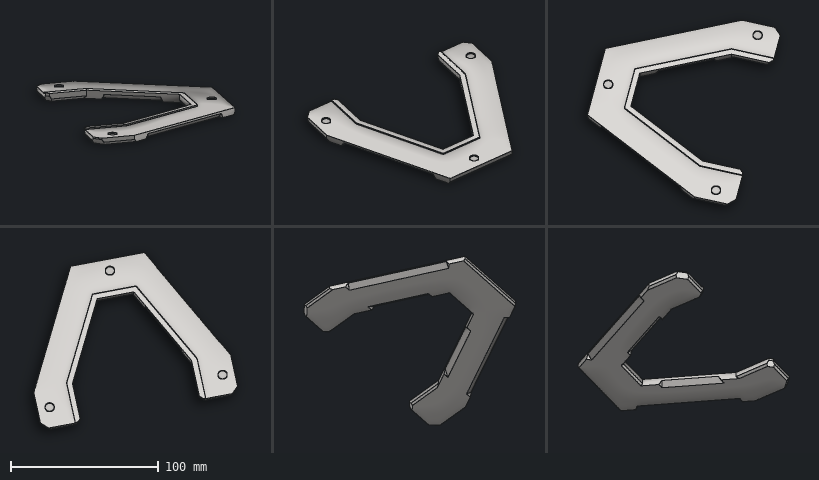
import cadquery as cq
import math

width = 137.0
length = 113.5
plate_thickness = 5.0
lip_height = 1.0
lip_width = 4.0
full_height = plate_thickness + lip_height

half_width = width / 2
arm_run = 0.5
arm_length_factor = math.hypot(1, arm_run)
arm_width = 24.0
leg_width = 27.25
top_bar_width = 27.5
outer_bend_y = 28.0
outer_top_half = half_width - (length - outer_bend_y) * arm_run
inner_half = half_width - leg_width
inner_top_y = length - top_bar_width
inner_top_half = outer_top_half + top_bar_width * arm_run - arm_width * arm_length_factor

chamfer_slope = 0.5
edge_chamfer_height = 2.0
edge_chamfer = edge_chamfer_height * chamfer_slope
corner_chamfer_height = 4.0
outer_corner_cut = 4.75
inner_corner_cut = 2.25

relief_height = 3.5
foot_pad_end_y = 38.0
inner_relief_top_y = 76.0
outer_relief_top_y = 103.3

hole_diameter = 6.3
hole_depth = 1.0
hole_inset = 8.5
foot_hole_y = 15.0
hole_x = half_width - hole_inset
hole_points = [(-hole_x, foot_hole_y), (hole_x, foot_hole_y), (0, length - hole_inset)]

clearance = 10.0


def outer_x(y):
    """X of the outer arm face on the +X side."""
    return outer_top_half + (length - y) * arm_run


def inner_x(y):
    """X of the inner arm face on the +X side."""
    return inner_top_half + (inner_top_y - y) * arm_run


def arch_points(half_bottom, half_top, top_y, start_y):
    """Symmetric arch: vertical legs, arms of the common slope and a flat top."""
    bend_y = top_y - (half_bottom - half_top) / arm_run
    right = [(half_bottom, start_y), (half_bottom, bend_y), (half_top, top_y)]
    return right + [(-x, y) for x, y in reversed(right)]


def opening_outline(growth, arm_offset=0.0):
    """Opening outline with its legs and top moved outward, arms moved by arm_offset."""
    top_y = inner_top_y + growth
    half_top = inner_x(top_y) + arm_offset * arm_length_factor
    return arch_points(inner_half + growth, half_top, top_y, -clearance)


def prism(points, z_low, z_high):
    return cq.Workplane("XY").workplane(offset=z_low).polyline(points).close().extrude(z_high - z_low)


def both_sides(tool):
    return tool.union(tool.mirror("YZ"))


def section_plane(x, y, angle):
    """Upright plane through (x, y), running along the given angle with local Y up."""
    across = (math.cos(angle), math.sin(angle), 0)
    normal = (math.sin(angle), -math.cos(angle), 0)
    return cq.Plane(origin=(x, y, 0), xDir=across, normal=normal)


def bevel_space(x, y, angle, set_back, height):
    """Space beyond an upright plane through (x, y) whose normal lies at the given angle.

    Below the given height the boundary slopes, moving back by set_back at Z = 0;
    a negative set_back moves it forward instead.
    """
    plane = section_plane(x, y, angle)
    profile = [
        (-set_back, 0),
        (0, height),
        (0, full_height),
        (length, full_height),
        (length, 0),
    ]
    return cq.Workplane(plane).polyline(profile).close().extrude(length, both=True)


def edge_bevel(x, y, degrees, set_back):
    return bevel_space(x, y, math.radians(degrees), set_back, edge_chamfer_height)


def make_blank():
    """Filled outline with chamfered legs, top bar and foot ends."""
    blank = prism(arch_points(half_width, outer_top_half, length, 0), 0, full_height)
    leg_bevels = both_sides(edge_bevel(half_width, 0, 0, edge_chamfer))
    top_bevel = edge_bevel(0, length, 90, edge_chamfer)
    foot_bevel = edge_bevel(0, 0, -90, edge_chamfer)
    return blank.cut(leg_bevels).cut(top_bevel).cut(foot_bevel)


def opening_tool():
    """Opening between the legs, widened at the underside along its legs and top."""
    opening = prism(opening_outline(edge_chamfer), 0, full_height)
    leg_walls = both_sides(edge_bevel(inner_half, 0, 0, -edge_chamfer))
    top_wall = edge_bevel(0, inner_top_y, 90, -edge_chamfer)
    return opening.cut(leg_walls).cut(top_wall)


def make_frame():
    frame = make_blank().cut(opening_tool())
    slab = cq.Workplane("XY").workplane(offset=plate_thickness)
    slab = slab.rect(2 * width, 4 * length).extrude(lip_height)
    lip_zone = prism(opening_outline(lip_width, lip_width), plate_thickness, full_height)
    return frame.cut(slab.cut(lip_zone))


def foot_corner_tools():
    """Diagonal corner cuts on the foot ends, leaning inward below the corner chamfer height."""
    height = corner_chamfer_height
    set_back = height * chamfer_slope
    outer = bevel_space(half_width - outer_corner_cut, 0, math.radians(-45), set_back, height)
    inner = bevel_space(inner_half + inner_corner_cut, 0, math.radians(-135), set_back, height)
    foot_box = cq.Workplane("XY").box(leg_width, leg_width, full_height, centered=(True, False, False))
    foot_box = foot_box.translate((half_width - leg_width / 2, 0, 0))
    return both_sides(outer.union(inner).intersect(foot_box))


def relief_wedge(face_x, across_angle):
    """45 degree wedge cut into the lower edge of an arm face, in the given direction."""
    plane = section_plane(face_x(0), 0, across_angle)
    profile = [(0, 0), (relief_height, 0), (0, relief_height)]
    return cq.Workplane(plane).polyline(profile).close().extrude(2 * length, both=True)


def relief_limit(x, y, angle):
    """Space outside a pad end whose sloped face meets Z = 0 at (x, y)."""
    set_back = relief_height * chamfer_slope
    top_x = x + set_back * math.cos(angle)
    top_y = y + set_back * math.sin(angle)
    return bevel_space(top_x, top_y, angle, set_back, relief_height)


def relief_tools():
    """Reliefs on both arms, from the square foot pad ends to the top pad.

    The top pad ends square at the opening and on a diagonal at the outer face.
    """
    inner_direction = math.atan(arm_run)
    outer_direction = inner_direction + math.pi
    foot_limit = relief_limit(0, foot_pad_end_y, math.radians(90))
    inner_limit = relief_limit(0, inner_relief_top_y, math.radians(-90))
    outer_limit = relief_limit(outer_x(outer_relief_top_y), outer_relief_top_y, math.radians(-45))
    inner = relief_wedge(inner_x, inner_direction).intersect(inner_limit)
    outer = relief_wedge(outer_x, outer_direction).intersect(outer_limit)
    return both_sides(inner.union(outer).intersect(foot_limit))


def hole_tools():
    holes = cq.Workplane("XY").workplane(offset=plate_thickness - hole_depth).pushPoints(hole_points)
    return holes.circle(hole_diameter / 2).extrude(hole_depth)


result = make_frame().cut(foot_corner_tools()).cut(relief_tools()).cut(hole_tools())